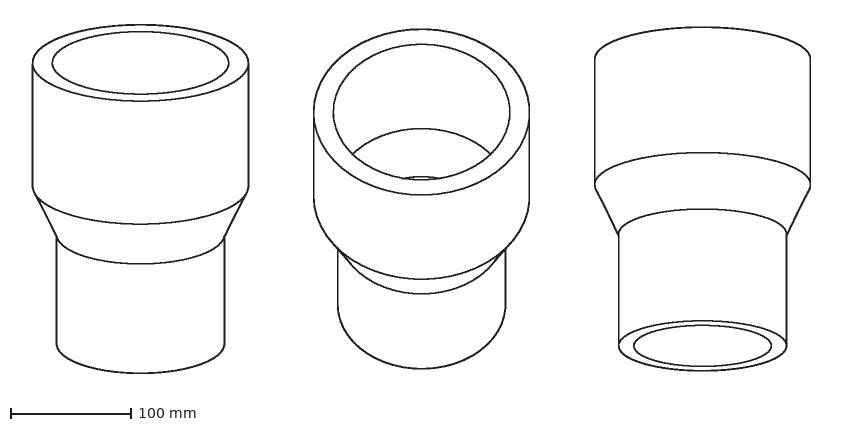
import cadquery as cq

total_height = 250.0
large_diameter = 180.0
small_diameter = 140.0
large_wall = 16.5
small_wall = 12.8

small_length = 97.5
large_length = 109.5

large_radius = large_diameter / 2
small_radius = small_diameter / 2
cone_top = total_height - large_length


def revolved_body(lower_radius, upper_radius):
    """Solid of two coaxial cylinders joined by a cone, standing on Z = 0."""
    return (
        cq.Workplane("XZ")
        .moveTo(0, 0)
        .lineTo(lower_radius, 0)
        .lineTo(lower_radius, small_length)
        .lineTo(upper_radius, cone_top)
        .lineTo(upper_radius, total_height)
        .lineTo(0, total_height)
        .close()
        .revolve(360, (0, 0, 0), (0, 1, 0))
    )


outer_body = revolved_body(small_radius, large_radius)
bore = revolved_body(small_radius - small_wall, large_radius - large_wall)

result = outer_body.cut(bore)